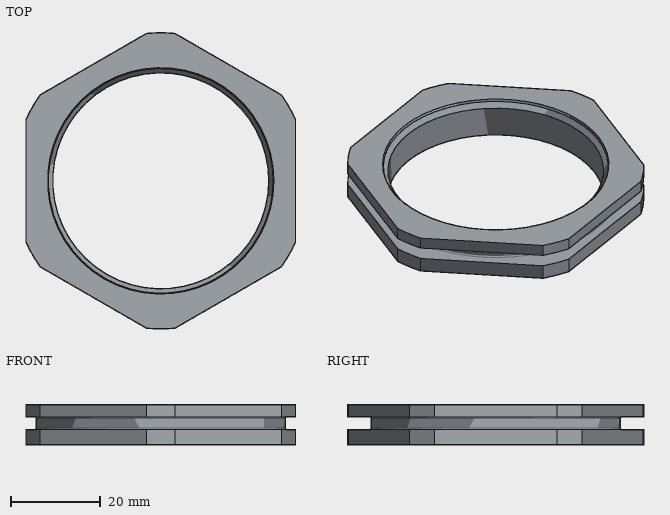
import cadquery as cq
import math

across_flats = 60.0
corner_diameter = 66.0
height = 9.0

bore_diameter = 48.0
cone_diameter = 50.0
cone_depth = 1.1
lip_diameter = 50.4
lip_depth = 0.5

groove_diameter = 55.55
groove_fillet = 0.3
lower_flange = 3.4
upper_flange = 2.7
groove_height = height - lower_flange - upper_flange


def rounded_hexagon():
    """Hexagon with flats facing +X and -X, its corners turned down to a cylinder."""
    hexagon_diameter = across_flats / math.cos(math.pi / 6)
    hexagon = (
        cq.Workplane("XY")
        .polygon(6, hexagon_diameter)
        .extrude(height)
        .rotate((0, 0, 0), (0, 0, 1), 30)
    )
    cylinder = cq.Workplane("XY").circle(corner_diameter / 2).extrude(height)
    return hexagon.intersect(cylinder)


def groove():
    """Ring of material removed all around the nut, rounded where its floor meets the flanges."""
    outer_ring_radius = corner_diameter
    return (
        cq.Workplane("XY", origin=(0, 0, lower_flange))
        .circle(outer_ring_radius)
        .circle(groove_diameter / 2)
        .extrude(groove_height)
        .edges(cq.selectors.RadiusNthSelector(0))
        .fillet(groove_fillet)
    )


def bore():
    """Through hole that widens in two tapered steps at the top face."""
    bore_radius = bore_diameter / 2
    lip_bottom = height - lip_depth
    return (
        cq.Workplane("XZ")
        .lineTo(bore_radius, 0)
        .lineTo(bore_radius, lip_bottom - cone_depth)
        .lineTo(cone_diameter / 2, lip_bottom)
        .lineTo(lip_diameter / 2, height)
        .lineTo(0, height)
        .close()
        .revolve(360, (0, 0, 0), (0, 1, 0))
    )


result = rounded_hexagon().cut(groove()).cut(bore())